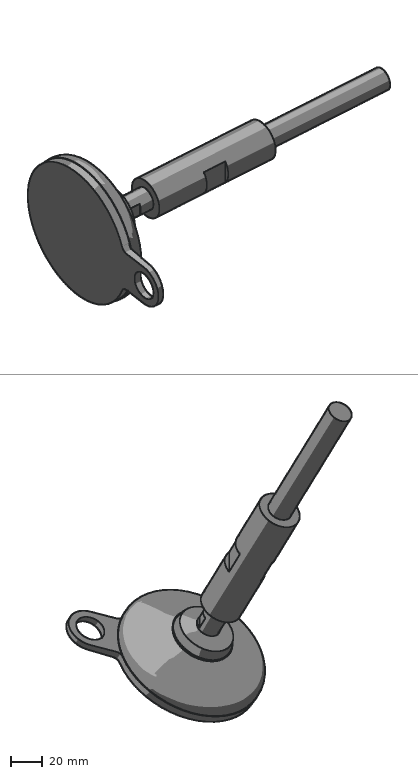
import cadquery as cq
import math

rim_radius = 50.0
sole_radius = 49.5
sole_height = 6.0
rim_top = 9.2
shoulder_radius = 7.2
cone_top_radius = 20.2
cone_top = 25.0
collar_radius = 20.8
collar_bottom = 26.5
collar_band_top = 27.0
collar_top_radius = 18.8
collar_bevel_bottom = 32.5
collar_top = 33.0
bevel_width = 0.2

lug_end_radius = 14.8
lug_reach = 83.0
lug_hole_diameter = 19.0
lug_root_thickness = 5.5
lug_tip_thickness = 4.0
lug_fillet_radius = 5.0
lug_center = lug_reach - lug_end_radius

rod_diameter = 16.0
rod_bottom = 35.5
rod_top = 250.0
rod_flat_bottom = 37.0
rod_flat_length = 9.2
rod_flat_width = 13.0
sleeve_diameter = 28.0
sleeve_bottom = 56.5
sleeve_length = 95.0
sleeve_flat_length = 17.5
sleeve_flat_width = 22.0
sleeve_flat_bottom = sleeve_bottom + (sleeve_length - sleeve_flat_length) / 2


def cylinder_y(diameter, start, length):
    """Cylinder on the Y axis, running from Y = start toward +Y."""
    plane = cq.Plane(origin=(0, start, 0), xDir=(1, 0, 0), normal=(0, 1, 0))
    return cq.Workplane(plane).circle(diameter / 2).extrude(length)


def tangent_angle(center_x, center_y):
    """Angle from +X to where a line from the cone top touches the shoulder arc."""
    dx = cone_top_radius - center_x
    dy = cone_top - center_y
    return math.atan2(dy, dx) - math.acos(shoulder_radius / math.hypot(dx, dy))


def make_disc():
    center_x = rim_radius - shoulder_radius
    end_angle = tangent_angle(center_x, rim_top)

    def shoulder_point(angle):
        return (
            center_x + shoulder_radius * math.cos(angle),
            rim_top + shoulder_radius * math.sin(angle),
        )

    return (
        cq.Workplane("XY")
        .lineTo(sole_radius, 0)
        .lineTo(sole_radius, sole_height)
        .lineTo(rim_radius, sole_height)
        .lineTo(rim_radius, rim_top)
        .threePointArc(shoulder_point(end_angle / 2), shoulder_point(end_angle))
        .lineTo(cone_top_radius, cone_top)
        .lineTo(cone_top_radius, collar_bottom)
        .lineTo(collar_radius, collar_bottom)
        .lineTo(collar_radius - bevel_width, collar_band_top)
        .lineTo(collar_top_radius, collar_bevel_bottom)
        .lineTo(collar_top_radius - bevel_width, collar_top)
        .lineTo(rod_diameter / 2, rod_bottom)
        .lineTo(0, rod_bottom)
        .close()
        .revolve(360, (0, 0, 0), (0, 1, 0))
    )


def make_lug():
    fillet_z = lug_end_radius + lug_fillet_radius
    fillet_distance = sole_radius + lug_fillet_radius
    fillet_x = math.sqrt(fillet_distance**2 - fillet_z**2)
    root_x = fillet_x * sole_radius / fillet_distance
    root_z = fillet_z * sole_radius / fillet_distance
    middle_angle = (math.atan2(root_z - fillet_z, root_x - fillet_x) - math.pi / 2) / 2
    middle_x = fillet_x + lug_fillet_radius * math.cos(middle_angle)
    middle_z = fillet_z + lug_fillet_radius * math.sin(middle_angle)

    plane = cq.Plane(origin=(0, 0, 0), xDir=(1, 0, 0), normal=(0, -1, 0))
    outline = (
        cq.Workplane(plane)
        .lineTo(root_x, root_z)
        .threePointArc((middle_x, middle_z), (fillet_x, lug_end_radius))
        .lineTo(lug_center, lug_end_radius)
        .threePointArc((lug_reach, 0), (lug_center, -lug_end_radius))
        .lineTo(fillet_x, -lug_end_radius)
        .threePointArc((middle_x, -middle_z), (root_x, -root_z))
        .close()
        .extrude(-sole_height)
    )
    slope = (lug_root_thickness - lug_tip_thickness) / (lug_reach - rim_radius)
    full_height_x = rim_radius - (sole_height - lug_root_thickness) / slope
    taper = (
        cq.Workplane("XY")
        .lineTo(lug_reach, 0)
        .lineTo(lug_reach, lug_tip_thickness)
        .lineTo(full_height_x, sole_height)
        .lineTo(0, sole_height)
        .close()
        .extrude(rim_radius, both=True)
    )
    return outline.intersect(taper)


def make_foot():
    hole = cylinder_y(lug_hole_diameter, 0, sole_height).translate((lug_center, 0, 0))
    return make_disc().union(make_lug()).cut(hole)


def cut_flats(body, diameter, flat_width, start, length):
    """Cut two opposite wrench flats facing -X and +X."""
    depth = (diameter - flat_width) / 2
    for side in (-1, 1):
        cutter = cq.Workplane("XY").box(depth, length, diameter)
        offset = side * (flat_width + depth) / 2
        body = body.cut(cutter.translate((offset, start + length / 2, 0)))
    return body


def make_spindle():
    rod = cylinder_y(rod_diameter, rod_bottom, rod_top - rod_bottom)
    rod = cut_flats(rod, rod_diameter, rod_flat_width, rod_flat_bottom, rod_flat_length)
    sleeve = cylinder_y(sleeve_diameter, sleeve_bottom, sleeve_length)
    sleeve = cut_flats(
        sleeve, sleeve_diameter, sleeve_flat_width, sleeve_flat_bottom, sleeve_flat_length
    )
    return rod.union(sleeve)


foot = make_foot()
spindle = make_spindle()
result = cq.Compound.makeCompound([foot.val(), spindle.val()])